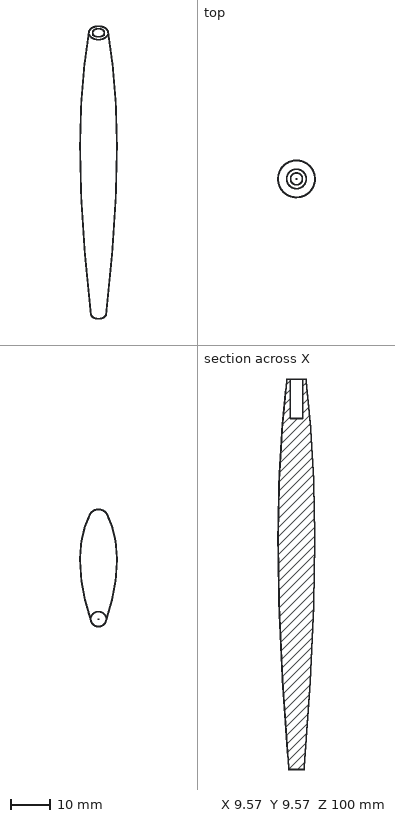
import cadquery as cq

length = 100.0
bottom_radius = 2.0
top_radius = 2.5

lower_control = (6.18, 51.0)
upper_control = (5.06, 78.0)

socket_radius = 1.525
socket_depth = 10.0

bore_radius = 0.03


def make_profile():
    """Half section of the handle: base, swelling side, top rim, socket and bore."""
    side_curve = [(bottom_radius, 0), lower_control, upper_control, (top_radius, length)]
    socket_floor = length - socket_depth
    return (
        cq.Workplane("XZ")
        .moveTo(bore_radius, 0)
        .lineTo(bottom_radius, 0)
        .bezier(side_curve)
        .lineTo(socket_radius, length)
        .lineTo(socket_radius, socket_floor)
        .lineTo(bore_radius, socket_floor)
        .close()
    )


def make_handle():
    """Revolve the half section a full turn about the Z axis."""
    return make_profile().revolve(360, (0, 0, 0), (0, 1, 0))


result = make_handle()